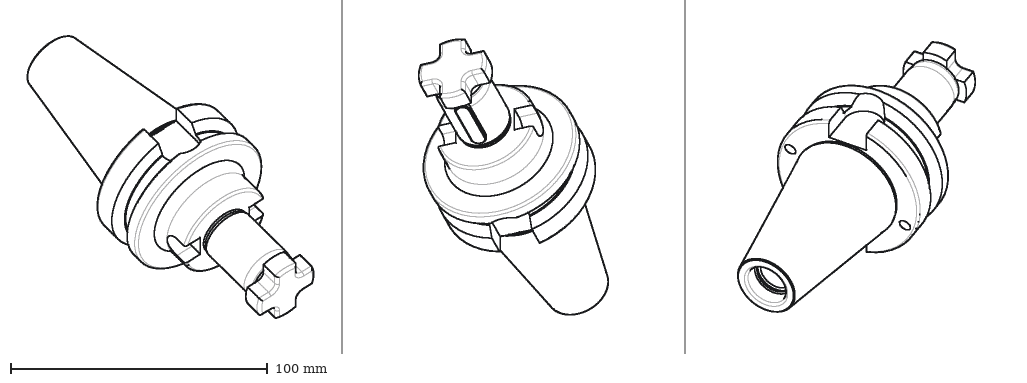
import cadquery as cq
import math

taper_length = 65.9
taper_small_radius = 12.7
taper_end_chamfer = 0.5
taper_large_radius = 22.3
relief_depth = 0.5

flange_start = 67.4
flange_end = 92.4
flange_diameter = 63.0
flange_radius = flange_diameter / 2
edge_round = 1.0
groove_middle = 82.0
groove_floor_width = 4.5
groove_radius = 26.5
groove_flank_foot_radius = 27.1
groove_flank_angle = 30.0

drive_slot_width = 16.5
drive_slot_tip = 88.6
drive_slot_floor = 22.3

hub_root_radius = 22.4
hub_radius = 20.3
hub_neck_end = 97.6
hub_end = 108.3
lug_slot_width = 10.3
lug_slot_start = 97.9
lug_slot_floor = 12.1

arbor_radius = 11.0
arbor_relief_radius = 10.6
arbor_relief_end = 109.4
arbor_full_start = 110.7
arbor_lead_start = 134.3
arbor_lead_end = 138.1
arbor_end = 139.1

bore_mouth_radius = 9.6
bore_radius = 8.5
bore_depth = 6.8
bore_step_radius = 8.0
bore_step_length = 0.9
bore_step_chamfer = 0.6
thread_radius = 7.1
thread_depth = 29.5
thread_tip_angle = 120.0
coolant_radius = 4.4

port_diameter = 4.0
port_circle_radius = 27.0
port_position_angle = 20.0
port_slant = 35.0
port_depth = 7.4

key_start = 113.0
key_end = 137.4
key_width = 6.0
key_height = 6.0
key_outer = 12.5
key_chamfer = 0.5

screw_end = 147.4
screw_head_radius = 14.0
screw_arm_width = 10.3
screw_notch_fillet = 3.1
screw_end_round = 1.3
shank_radius = 5.0
shank_length = 36.8
shank_chamfer = 1.3
shank_start = arbor_end - shank_length


def groove_flank_run():
    """Axial length of one sloping flank of the V-groove."""
    return (flange_radius - groove_flank_foot_radius) * math.tan(math.radians(groove_flank_angle))


def hub_neck_radius():
    """Radius of the hollow neck arc, which runs tangent into the hub cylinder."""
    length = hub_neck_end - flange_end
    drop = hub_root_radius - hub_radius
    return (length**2 + drop**2) / (2 * drop)


def holder_blank():
    """Turned outline of the holder, from the taper to the arbor."""
    floor_start = groove_middle - groove_floor_width / 2
    floor_end = groove_middle + groove_floor_width / 2
    neck_radius = taper_large_radius - relief_depth
    flank = groove_flank_run()
    return (
        cq.Workplane("XY")
        .moveTo(0, 0)
        .lineTo(0, taper_small_radius - taper_end_chamfer)
        .lineTo(taper_end_chamfer, taper_small_radius)
        .lineTo(taper_length, taper_large_radius)
        .lineTo(taper_length + relief_depth, neck_radius)
        .lineTo(flange_start, neck_radius)
        .lineTo(flange_start, flange_radius - edge_round)
        .radiusArc((flange_start + edge_round, flange_radius), edge_round)
        .lineTo(floor_start - flank, flange_radius)
        .lineTo(floor_start, groove_flank_foot_radius)
        .lineTo(floor_start, groove_radius)
        .lineTo(floor_end, groove_radius)
        .lineTo(floor_end, groove_flank_foot_radius)
        .lineTo(floor_end + flank, flange_radius)
        .lineTo(flange_end - edge_round, flange_radius)
        .radiusArc((flange_end, flange_radius - edge_round), edge_round)
        .lineTo(flange_end, hub_root_radius)
        .radiusArc((hub_neck_end, hub_radius), -hub_neck_radius())
        .lineTo(hub_end - edge_round, hub_radius)
        .radiusArc((hub_end, hub_radius - edge_round), edge_round)
        .lineTo(hub_end, arbor_relief_radius)
        .lineTo(arbor_relief_end, arbor_relief_radius)
        .lineTo(arbor_full_start, arbor_radius)
        .lineTo(arbor_lead_start, arbor_radius)
        .lineTo(arbor_lead_end, arbor_relief_radius)
        .lineTo(arbor_end, arbor_relief_radius)
        .lineTo(arbor_end, 0)
        .close()
        .revolve(360, (0, 0, 0), (1, 0, 0))
    )


def drive_slot_cutter(side):
    """Slot open to the rear and rounded in front; side is +1 for +Z, -1 for -Z."""
    half_width = drive_slot_width / 2
    round_start = drive_slot_tip - half_width
    return (
        cq.Workplane("XY", origin=(0, 0, side * drive_slot_floor))
        .moveTo(taper_length, -half_width)
        .lineTo(round_start, -half_width)
        .threePointArc((drive_slot_tip, 0), (round_start, half_width))
        .lineTo(taper_length, half_width)
        .close()
        .extrude(side * flange_radius)
    )


def lug_slot_cutter(side):
    """Slot open to the front and rounded behind; side is +1 for +Y, -1 for -Y."""
    half_width = lug_slot_width / 2
    round_end = lug_slot_start + half_width
    return (
        cq.Workplane("XZ", origin=(0, side * lug_slot_floor, 0))
        .moveTo(hub_end, -half_width)
        .lineTo(round_end, -half_width)
        .threePointArc((lug_slot_start, 0), (round_end, half_width))
        .lineTo(hub_end, half_width)
        .close()
        .extrude(-side * hub_radius)
    )


def rear_bore_cutter():
    """Counterbored draw-bolt hole that narrows to a coolant hole reaching the screw."""
    mouth_round = bore_mouth_radius - bore_radius
    step_start = bore_depth + bore_step_chamfer
    step_end = step_start + bore_step_length
    cone_depth = (thread_radius - coolant_radius) / math.tan(math.radians(thread_tip_angle / 2))
    return (
        cq.Workplane("XY")
        .moveTo(0, 0)
        .lineTo(0, bore_mouth_radius)
        .radiusArc((mouth_round, bore_radius), -mouth_round)
        .lineTo(bore_depth, bore_radius)
        .lineTo(step_start, bore_step_radius)
        .lineTo(step_end, bore_step_radius)
        .lineTo(step_end + bore_step_chamfer, thread_radius)
        .lineTo(thread_depth, thread_radius)
        .lineTo(thread_depth + cone_depth, coolant_radius)
        .lineTo(shank_start, coolant_radius)
        .lineTo(shank_start, 0)
        .close()
        .revolve(360, (0, 0, 0), (1, 0, 0))
    )


def screw_hole_cutter():
    """Hole in the arbor end that the screw shank fills."""
    return cq.Workplane("YZ", origin=(shank_start, 0, 0)).circle(shank_radius).extrude(shank_length)


def coolant_port_cutter(position_angle):
    """Slanted hole; the cutter reaches equally far outside and inside the rear flange face."""
    angle = math.radians(position_angle)
    slant = math.radians(port_slant)
    outward = cq.Vector(0, math.cos(angle), math.sin(angle))
    direction = cq.Vector(math.cos(slant), 0, 0) - outward * math.sin(slant)
    entry = cq.Vector(flange_start, 0, 0) + outward * port_circle_radius
    return cq.Solid.makeCylinder(port_diameter / 2, 2 * port_depth, entry - direction * port_depth, direction)


def make_key():
    """Round-ended feather key in the underside of the arbor."""
    length = key_end - key_start
    return (
        cq.Workplane("XY", origin=((key_start + key_end) / 2, 0, -key_outer))
        .slot2D(length, key_width)
        .extrude(key_height)
        .faces("<Z")
        .chamfer(key_chamfer)
    )


def make_holder(key):
    """Tool holder with all slots and holes, and a recess that fits the key."""
    holder = holder_blank()
    for side in (1, -1):
        holder = holder.cut(drive_slot_cutter(side))
        holder = holder.cut(lug_slot_cutter(side))
    for position_angle in (port_position_angle, port_position_angle + 180):
        holder = holder.cut(cq.Workplane(coolant_port_cutter(position_angle)))
    return holder.cut(rear_bore_cutter()).cut(screw_hole_cutter()).cut(key)


def make_screw():
    """Clamping screw: cross-shaped head with rounded inner corners, and a plain shank."""
    head_length = screw_end - arbor_end
    head_plane = cq.Workplane("YZ", origin=(arbor_end, 0, 0))
    disc = head_plane.circle(screw_head_radius).extrude(head_length)
    arm_span = 2 * screw_head_radius + screw_arm_width
    cross = (
        head_plane.rect(arm_span, screw_arm_width)
        .extrude(head_length)
        .union(head_plane.rect(screw_arm_width, arm_span).extrude(head_length))
    )
    inner_corners = cq.selectors.BoxSelector(
        (arbor_end, -screw_arm_width, -screw_arm_width), (screw_end, screw_arm_width, screw_arm_width)
    )
    cross = cross.edges("|X").edges(inner_corners).fillet(screw_notch_fillet)
    shank = (
        cq.Workplane("YZ", origin=(shank_start, 0, 0))
        .circle(shank_radius)
        .extrude(shank_length)
        .faces("<X")
        .chamfer(shank_chamfer)
    )
    head = disc.intersect(cross).faces(">X").edges().fillet(screw_end_round)
    return head.union(shank)


key = make_key()
holder = make_holder(key)
screw = make_screw()

result = cq.Compound.makeCompound([holder.val(), key.val(), screw.val()])